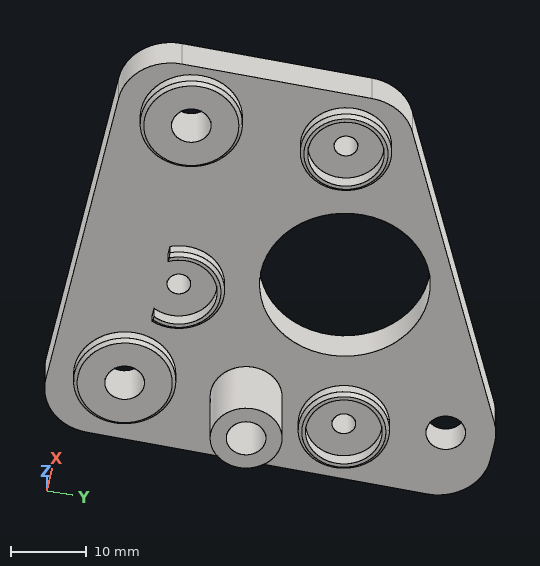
import cadquery as cq

plate_width = 59.45
plate_length = 60.05
plate_thickness = 5.0
corner_radius = 7.0
slope_start_x = 11.35
slope_end_y = 37.1

bore_diameter = 22.5
bore_center = (29.95, 35.4)
mount_hole_diameter = 5.2
left_column_x = 9.95
right_column_x = 51.45
mount_row_y = 10.0
post_center = (left_column_x, 26.4)
top_hole_center = (left_column_x, 53.4)
corner_pad_centers = [(left_column_x, mount_row_y), (right_column_x, mount_row_y)]
mount_hole_centers = corner_pad_centers + [post_center, top_hole_center]

screw_hole_diameter = 3.1
screw_offset_long = 21.45
screw_offset_short = 4.5
left_screw = (bore_center[0] - screw_offset_long, bore_center[1] + screw_offset_short)
right_screw = (bore_center[0] + screw_offset_long, bore_center[1] - screw_offset_short)
front_screw = (bore_center[0] - screw_offset_short, bore_center[1] - screw_offset_long)
screw_centers = [left_screw, right_screw, front_screw]

pad_height = 2.0
pad_chamfer = 0.5
corner_pad_diameter = 13.5
screw_rim_diameter = 12.1
screw_recess_diameter = 10.1
rim_flat_offset = 2.4
post_diameter = 9.5
post_length = 10.0


def make_plate():
    """Rectangle with its upper right side sloped off and all corners rounded."""
    outline = [
        (0, 0),
        (plate_width, 0),
        (plate_width, slope_end_y),
        (slope_start_x, plate_length),
        (0, plate_length),
    ]
    plate = cq.Workplane("XY").polyline(outline).close().extrude(plate_thickness)
    return plate.edges("|Z").fillet(corner_radius)


def make_pad(center, diameter):
    """Round pad below the plate with a chamfered lower rim."""
    pad = cq.Workplane("XY").circle(diameter / 2).extrude(-pad_height)
    return pad.faces("<Z").edges().chamfer(pad_chamfer).translate((*center, 0))


def make_screw_rim(center):
    """Chamfered pad hollowed out to leave a thin rim around a screw hole."""
    recess = cq.Workplane("XY").center(*center).circle(screw_recess_diameter / 2).extrude(-pad_height)
    return make_pad(center, screw_rim_diameter).cut(recess)


def trim_front(rim, center):
    """Cut a rim flat on its -Y side, which opens its recess."""
    trim = (
        cq.Workplane("XY")
        .center(center[0], center[1] - rim_flat_offset)
        .rect(screw_rim_diameter, screw_rim_diameter)
        .extrude(-pad_height)
        .translate((0, -screw_rim_diameter / 2, 0))
    )
    return rim.cut(trim)


def drill(body, centers, diameter):
    """Cut round holes through everything at the given centers."""
    drills = (
        cq.Workplane("XY")
        .workplane(offset=-post_length)
        .pushPoints(centers)
        .circle(diameter / 2)
        .extrude(post_length + plate_thickness)
    )
    return body.cut(drills)


result = make_plate()

for pad_center in corner_pad_centers:
    result = result.union(make_pad(pad_center, corner_pad_diameter))

for screw_center in (left_screw, right_screw):
    result = result.union(make_screw_rim(screw_center))
result = result.union(trim_front(make_screw_rim(front_screw), front_screw))

post = cq.Workplane("XY").center(*post_center).circle(post_diameter / 2).extrude(-post_length)
result = result.union(post)

result = drill(result, [bore_center], bore_diameter)
result = drill(result, mount_hole_centers, mount_hole_diameter)
result = drill(result, screw_centers, screw_hole_diameter)